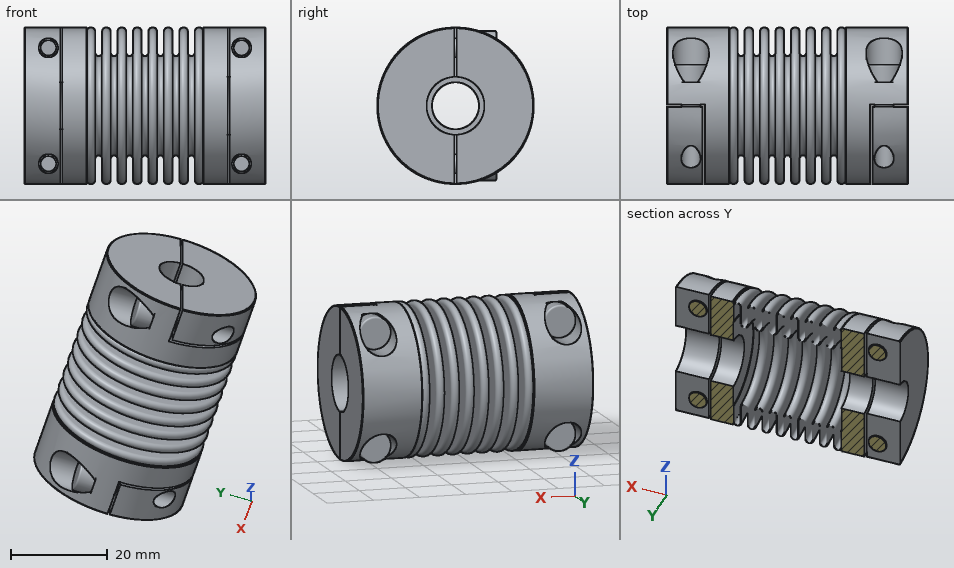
import cadquery as cq


overall_length = 50.0
hub_diameter = 32.5
hub_length = 13.0
hub_chamfer = 0.2
left_bore_diameter = 9.7
right_bore_diameter = 12.0

slit_width = 0.5
clamp_length = 7.4

screw_diameter = 4.0
screw_end_inset = 5.0
screw_height = 12.0
screw_tip_y = -7.5
screw_chamfer = 0.4
head_diameter = 7.0
head_length = 3.6
head_fillet = 0.4
counterbore_diameter = 7.5
counterbore_floor_y = 4.9

crest_count = 8
pitch = 3.2
root_diameter = 20.6
wall = 0.25

half_length = overall_length / 2
hub_radius = hub_diameter / 2
screw_x = half_length - screw_end_inset


def y_cylinder(x, z, diameter, y_start, y_end):
    """Cylinder parallel to Y between two Y positions, with y_start below y_end."""
    base = cq.Workplane("XZ", origin=(x, y_start, z))
    return base.circle(diameter / 2).extrude(y_start - y_end)


def make_screw(x, z):
    """Cap screw with a rounded head towards +Y and a chamfered tip."""
    head_top_y = counterbore_floor_y + head_length
    shank = y_cylinder(x, z, screw_diameter, screw_tip_y, counterbore_floor_y)
    head = y_cylinder(x, z, head_diameter, counterbore_floor_y, head_top_y)
    shank = shank.faces("<Y").chamfer(screw_chamfer)
    head = head.faces(">Y").edges().fillet(head_fillet)
    return shank.union(head)


def make_hub(side, bore_diameter):
    """Clamping hub with its screws; side is -1 for the -X end and 1 for the +X end."""
    outer_x = side * half_length
    hub = cq.Workplane("YZ", origin=(outer_x, 0, 0)).circle(hub_radius).extrude(-side * hub_length)
    hub = hub.edges().chamfer(hub_chamfer)
    bore = cq.Workplane("YZ", origin=(outer_x, 0, 0)).circle(bore_diameter / 2).extrude(-side * hub_length)
    hub = hub.cut(bore)

    slit_length = clamp_length + slit_width
    lengthwise = cq.Workplane("XY").box(slit_length, slit_width, hub_diameter)
    hub = hub.cut(lengthwise.translate((outer_x - side * slit_length / 2, 0, 0)))
    crosswise_depth = hub_radius + slit_width / 2
    crosswise = cq.Workplane("XY").box(slit_width, crosswise_depth, hub_diameter)
    crosswise_x = outer_x - side * (clamp_length + slit_width / 2)
    hub = hub.cut(crosswise.translate((crosswise_x, slit_width / 2 - crosswise_depth / 2, 0)))

    for z in (-screw_height, screw_height):
        x = side * screw_x
        hub = hub.cut(y_cylinder(x, z, counterbore_diameter, counterbore_floor_y, hub_radius))
        hub = hub.cut(y_cylinder(x, z, screw_diameter, -hub_radius, screw_tip_y + screw_chamfer))
        hub = hub.union(make_screw(x, z))
    return hub


def make_bellows():
    """Wavy sleeve of constant wall: round crests and roots joined by straight flanks."""
    mid_radius = pitch / 4
    large_radius = mid_radius + wall / 2
    small_radius = mid_radius - wall / 2
    crest_center_r = hub_radius - large_radius
    root_center_r = root_diameter / 2 + small_radius
    first_crest_x = -pitch * (crest_count - 1) / 2
    crest_xs = [first_crest_x + i * pitch for i in range(crest_count)]

    profile = cq.Workplane("XY").moveTo(first_crest_x - large_radius, root_center_r)
    for x in crest_xs:
        profile = profile.lineTo(x - large_radius, crest_center_r)
        profile = profile.threePointArc((x, crest_center_r + large_radius), (x + large_radius, crest_center_r))
        profile = profile.lineTo(x + large_radius, root_center_r)
        if x != crest_xs[-1]:
            root_x = x + pitch / 2
            root_end = (root_x + small_radius, root_center_r)
            profile = profile.threePointArc((root_x, root_center_r - small_radius), root_end)

    profile = profile.lineTo(crest_xs[-1] + small_radius, root_center_r)
    for x in reversed(crest_xs):
        profile = profile.lineTo(x + small_radius, crest_center_r)
        profile = profile.threePointArc((x, crest_center_r + small_radius), (x - small_radius, crest_center_r))
        profile = profile.lineTo(x - small_radius, root_center_r)
        if x != crest_xs[0]:
            root_x = x - pitch / 2
            root_end = (root_x - large_radius, root_center_r)
            profile = profile.threePointArc((root_x, root_center_r - large_radius), root_end)
    return profile.close().revolve(360, (0, 0, 0), (1, 0, 0))


left_hub = make_hub(-1, left_bore_diameter)
right_hub = make_hub(1, right_bore_diameter)
result = left_hub.union(make_bellows()).union(right_hub)